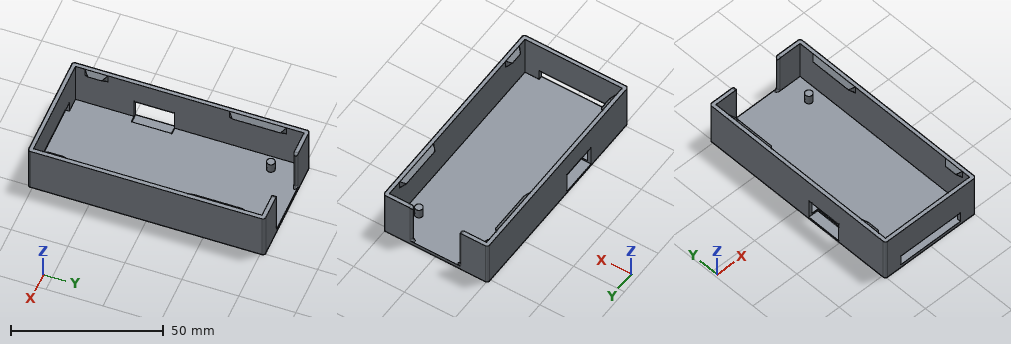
import cadquery as cq

WIDTH = 41.2
LENGTH = 83.2
HEIGHT = 18.0
WALL = 1.5
FLOOR = 1.5
CORNER_RADIUS = 1.0

INNER_WIDTH = WIDTH - 2 * WALL
INNER_LENGTH = LENGTH - 2 * WALL

END_OPENING_WIDTH = 18.7
OPENING_CORNER_RADIUS = 1.0
OPENING_EDGE_RADIUS = 0.7

SLOT_WIDTH = 27.1
SLOT_TOP = 5.7

WINDOW_CENTER_Y = -12.5
WINDOW_LENGTH = 14.15
WINDOW_BOTTOM = 0.75
WINDOW_TOP = 8.9
RECESS_REACH = 4.0

PIN_DIAMETER = 2.8
PIN_TOP = 5.2
PIN_X = 13.9
PIN_Y = 30.5

RIDGE_SPANS = [(-36.8, -28.7), (14.0, 34.0)]
RIDGE_DEPTH = 1.6
RIDGE_HEIGHT = 3.0
RIDGE_END_TAPER = 1.6


def block(x_range, y_range, z_range):
    """Box spanning the given (low, high) limits along each axis."""
    (x0, x1), (y0, y1), (z0, z1) = x_range, y_range, z_range
    return cq.Workplane("XY").box(x1 - x0, y1 - y0, z1 - z0, centered=False).translate((x0, y0, z0))


def rounded_slab(height):
    """Solid with the tray's outer outline."""
    return cq.Workplane("XY").rect(WIDTH, LENGTH).extrude(height).edges("|Z").fillet(CORNER_RADIUS)


def make_walls():
    """Rim of walls with the rounded U-shaped opening in the +Y side."""
    walls = rounded_slab(HEIGHT).cut(cq.Workplane("XY").rect(INNER_WIDTH, INNER_LENGTH).extrude(HEIGHT))
    half = END_OPENING_WIDTH / 2
    y_range = (INNER_LENGTH / 2, LENGTH / 2)
    opening = block((-half, half), y_range, (FLOOR, HEIGHT))
    walls = walls.cut(opening)

    lower_corners = cq.selectors.BoxSelector((-half - WALL, 0, FLOOR / 2), (half + WALL, LENGTH, HEIGHT / 2))
    walls = walls.edges("|Y").edges(lower_corners).fillet(OPENING_CORNER_RADIUS)
    inner_edge = cq.selectors.NearestToPointSelector((half, y_range[0], HEIGHT / 2))
    outer_edge = cq.selectors.NearestToPointSelector((half, y_range[1], HEIGHT / 2))
    walls = walls.edges(inner_edge + outer_edge).fillet(OPENING_EDGE_RADIUS)

    radius = OPENING_CORNER_RADIUS
    for side in (-1, 1):
        center_x = side * (half + radius)
        waste = block(sorted((center_x, side * half)), y_range, (HEIGHT - radius, HEIGHT))
        rounding = (
            cq.Workplane("XZ", origin=(center_x, y_range[1], HEIGHT - radius)).circle(radius).extrude(WALL)
        )
        walls = walls.cut(waste.cut(rounding))
    return walls


def make_ridge(side, y_start, y_end):
    """Triangular snap ridge with tapered ends on the wall at side (-1 or +1) in X."""
    middle = (y_start + y_end) / 2
    half_length = (y_end - y_start) / 2
    wall_x = side * INNER_WIDTH / 2
    tip_x = wall_x - side * RIDGE_DEPTH
    profile = [
        (wall_x, HEIGHT - RIDGE_HEIGHT),
        (tip_x, HEIGHT - RIDGE_HEIGHT / 2),
        (wall_x, HEIGHT),
    ]
    ridge = cq.Workplane("XZ").polyline(profile).close().extrude(half_length, both=True)
    ridge = ridge.translate((0, middle, 0))
    outline = [
        (wall_x, y_start),
        (tip_x, y_start + RIDGE_END_TAPER),
        (tip_x, y_end - RIDGE_END_TAPER),
        (wall_x, y_end),
    ]
    return ridge.intersect(cq.Workplane("XY").polyline(outline).close().extrude(HEIGHT))


result = make_walls().union(rounded_slab(FLOOR))

result = result.cut(
    block((-SLOT_WIDTH / 2, SLOT_WIDTH / 2), (-LENGTH / 2, -INNER_LENGTH / 2), (FLOOR, SLOT_TOP))
)
result = result.cut(
    block(
        (-WIDTH / 2, -WIDTH / 2 + RECESS_REACH),
        (WINDOW_CENTER_Y - WINDOW_LENGTH / 2, WINDOW_CENTER_Y + WINDOW_LENGTH / 2),
        (WINDOW_BOTTOM, WINDOW_TOP),
    )
)

pins = cq.Workplane("XY").pushPoints([(-PIN_X, PIN_Y), (PIN_X, PIN_Y)]).circle(PIN_DIAMETER / 2)
result = result.union(pins.extrude(PIN_TOP))

for side in (-1, 1):
    for y_start, y_end in RIDGE_SPANS:
        result = result.union(make_ridge(side, y_start, y_end))